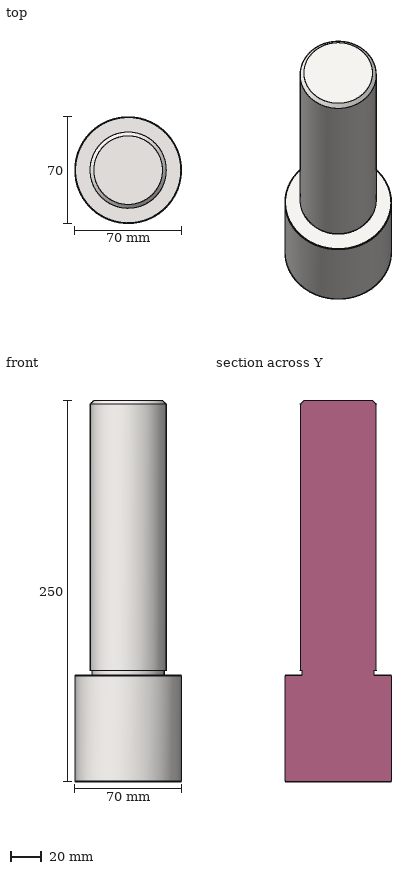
import cadquery as cq

total_height = 250.0
head_diameter = 70.0
head_height = 70.0
head_edge_chamfer = 0.5
shank_diameter = 50.0
shank_tip_chamfer = 2.5
groove_diameter = 47.5
groove_width = 3.0

shank_length = total_height - head_height - groove_width


def cylinder(diameter, height, base_z):
    """Upright cylinder centred on the Z axis, standing at base_z."""
    return cq.Workplane("XY").workplane(offset=base_z).circle(diameter / 2).extrude(height)


head = cylinder(head_diameter, head_height, 0).edges().chamfer(head_edge_chamfer)

groove_core = cylinder(groove_diameter, groove_width, head_height)

shank = cylinder(shank_diameter, shank_length, head_height + groove_width)
shank = shank.faces(">Z").edges().chamfer(shank_tip_chamfer)

result = head.union(groove_core).union(shank)